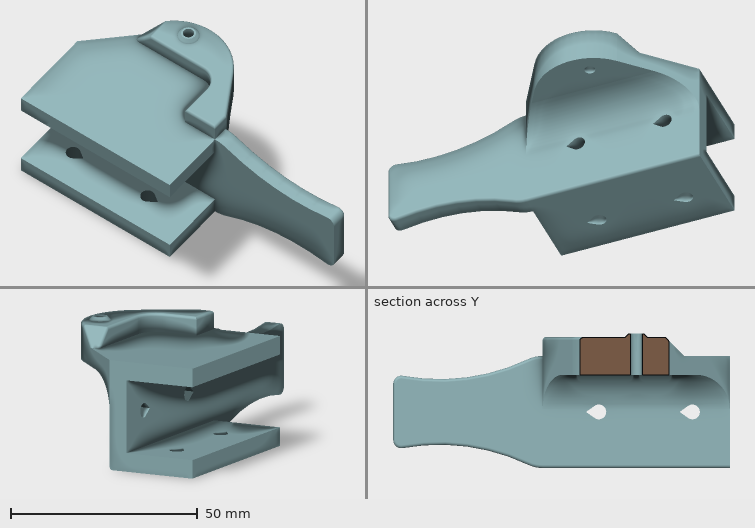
import cadquery as cq
import math

total_length = 90.0
total_width = 46.6
total_height = 36.0

body_length = 50.0
wall = 5.0
bracket_depth = 25.0
bracket_height = 30.0
edge_radius = 0.8
inner_wall_y = bracket_depth - wall
mid_z = bracket_height / 2

nose_radius = 16.0
nose_y = total_width - nose_radius
underside_radius = 9.2
underside_z = bracket_height - wall

lip_top = bracket_height + wall
lip_front_y = 34.65
lip_arm_x = body_length - 2 * wall
lip_corner_radius = wall
ramp_start_x = 12.15

boss_x = body_length / 2
boss_y = 41.2
boss_base_diameter = 6.0
boss_top_diameter = 4.05
pivot_hole_diameter = 3.0

waist_x = 77.6
waist_z = 23.8
waist_radius = 54.9
handle_corner_radius = 2.2

screw_diameter = 4.0
screw_tip = 3.4
screw_xs = (10.0, 35.0)
screw_y = inner_wall_y / 2


def box(x0, x1, y0, y1, z0, z1):
    return cq.Workplane("XY").box(x1 - x0, y1 - y0, z1 - z0, centered=False).translate((x0, y0, z0))


def handle_wall():
    """Back wall of the bracket, continued as a waisted handle."""
    waist_center_z = waist_z + waist_radius
    run = waist_x - body_length
    rise = waist_center_z - bracket_height
    blend_radius = (run**2 + rise**2 - waist_radius**2) / (2 * (waist_radius - rise))
    blend_center_z = bracket_height - blend_radius
    blend_angle = math.atan2(run, waist_center_z - blend_center_z)

    def blend(angle):
        return (body_length + blend_radius * math.sin(angle), blend_center_z + blend_radius * math.cos(angle))

    def mirrored(point):
        return (point[0], bracket_height - point[1])

    end_rise = waist_radius - math.sqrt(waist_radius**2 - (total_length - waist_x) ** 2)
    start = (body_length, bracket_height)
    blend_mid = blend(blend_angle / 2)
    blend_end = blend(blend_angle)
    waist = (waist_x, waist_z)
    tip = (total_length, waist_z + end_rise)

    plate = (
        cq.Workplane("XZ", origin=(0, bracket_depth, 0))
        .moveTo(0, 0)
        .lineTo(0, bracket_height)
        .lineTo(*start)
        .threePointArc(blend_mid, blend_end)
        .threePointArc(waist, tip)
        .lineTo(*mirrored(tip))
        .threePointArc(mirrored(waist), mirrored(blend_end))
        .threePointArc(mirrored(blend_mid), mirrored(start))
        .close()
        .extrude(wall)
    )
    plate = plate.edges("|Y and >X").fillet(handle_corner_radius)
    return plate.faces(">Y").edges("not(<X or (|X and >Z))").fillet(edge_radius)


def flanges():
    lower = box(0, body_length, 0, inner_wall_y, 0, wall)
    upper = box(0, body_length, 0, inner_wall_y, bracket_height - wall, bracket_height)
    return lower.union(upper)


def nose_outline():
    """Plan outline with a 45 degree flank and a straight flank, both tangent to the nose."""
    nose_x = nose_y - bracket_depth + nose_radius * math.sqrt(2)
    flank_x = body_length - nose_x
    flank_y = bracket_depth - nose_y
    right_angle = math.atan2(flank_y, flank_x) + math.acos(nose_radius / math.hypot(flank_x, flank_y))
    left_angle = math.radians(135)

    def on_nose(angle):
        return (nose_x + nose_radius * math.cos(angle), nose_y + nose_radius * math.sin(angle))

    return (
        cq.Workplane("XY")
        .moveTo(0, inner_wall_y)
        .lineTo(0, bracket_depth)
        .lineTo(*on_nose(left_angle))
        .threePointArc(on_nose(math.pi / 2), on_nose(right_angle))
        .lineTo(body_length, bracket_depth)
        .lineTo(body_length, inner_wall_y)
        .close()
    )


def block():
    """Block with a concave underside that runs down into the back wall."""
    solid = nose_outline().extrude(bracket_height)
    arc_end_y = bracket_depth + underside_radius
    arc_bottom_z = underside_z - underside_radius
    offset = underside_radius * math.sqrt(0.5)
    below = (
        cq.Workplane("YZ")
        .moveTo(bracket_depth, 0)
        .lineTo(bracket_depth, arc_bottom_z)
        .threePointArc((arc_end_y - offset, arc_bottom_z + offset), (arc_end_y, underside_z))
        .lineTo(total_width, underside_z)
        .lineTo(total_width, 0)
        .close()
        .extrude(body_length)
    )
    wall_zone = box(0, body_length, 0, bracket_depth, 0, arc_bottom_z)
    return solid.cut(below).cut(wall_zone)


def lip():
    """L-shaped lip with a ramp at its left end and rounded upper edges."""
    outer = nose_outline().extrude(wall).translate((0, 0, bracket_height))
    outer = outer.faces(">Z").edges("not(<Y or <X)").fillet(edge_radius)

    bar_end = total_length
    flank_start_x = lip_front_y - bracket_depth
    inner = (
        cq.Workplane("XY", origin=(0, 0, bracket_height))
        .moveTo(flank_start_x, lip_front_y)
        .lineTo(lip_arm_x, lip_front_y)
        .lineTo(lip_arm_x, inner_wall_y)
        .lineTo(bar_end, inner_wall_y)
        .lineTo(bar_end, bar_end + bracket_depth)
        .close()
        .extrude(wall)
    )
    inner_corner = cq.NearestToPointSelector((lip_arm_x, lip_front_y, bracket_height + wall / 2))
    inner = inner.edges(inner_corner).fillet(lip_corner_radius)
    ramp_cut = (
        cq.Workplane("XZ", origin=(ramp_start_x, 0, bracket_height))
        .lineTo(wall, wall)
        .lineTo(-ramp_start_x, wall)
        .lineTo(-ramp_start_x, 0)
        .close()
        .extrude(-bar_end)
    )
    inner = inner.cut(ramp_cut)
    ramp_middle = cq.NearestToPointSelector((ramp_start_x + wall / 2, lip_front_y, bracket_height + wall / 2))
    ramp_sides = inner.faces(ramp_middle).edges("not(#Z)")
    upper_edges = inner.faces(">Z").edges("not(>X or >Y)").add(ramp_sides)
    return outer.intersect(upper_edges.fillet(edge_radius))


def boss():
    return (
        cq.Workplane("XY", origin=(boss_x, boss_y, lip_top))
        .circle(boss_base_diameter / 2)
        .workplane(offset=total_height - lip_top)
        .circle(boss_top_diameter / 2)
        .loft()
    )


def teardrop(plane, origin, depth):
    """Round hole whose tangent sides meet in a point toward +X."""
    radius = screw_diameter / 2
    angle = math.acos(radius / screw_tip)
    x = radius * math.cos(angle)
    y = radius * math.sin(angle)
    return (
        cq.Workplane(plane, origin=origin)
        .moveTo(screw_tip, 0)
        .lineTo(x, y)
        .threePointArc((-radius, 0), (x, -y))
        .close()
        .extrude(depth)
    )


result = handle_wall().union(flanges()).union(block()).union(lip()).union(boss())

pivot_hole = cq.Workplane("XY", origin=(boss_x, boss_y, 0)).circle(pivot_hole_diameter / 2).extrude(total_height)
result = result.cut(pivot_hole)

for screw_x in screw_xs:
    result = result.cut(teardrop("XZ", (screw_x, total_width, mid_z), total_width))
    result = result.cut(teardrop("XY", (screw_x, screw_y, 0), wall))